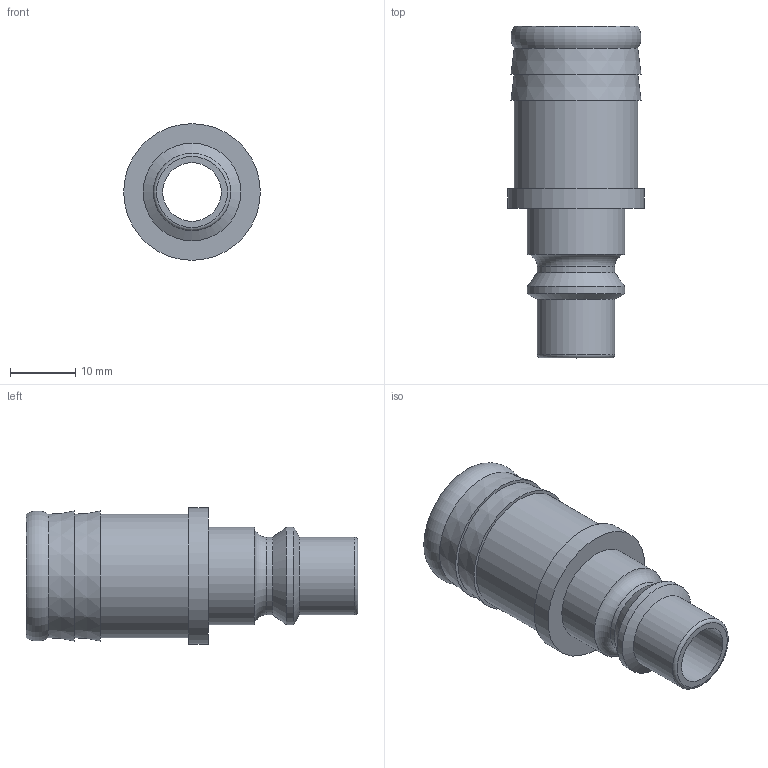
import cadquery as cq
import math

total_length = 51.0
bore_radius = 4.5

tip_radius = 5.95
tip_fillet = 0.5
shank_radius = 7.5
ring_start = 9.0
ring_lead_length = 0.85
ring_land_length = 1.15
groove_start = 13.1
groove_fillet_start = 14.0
groove_fillet_radius = 2.0

collar_radius = 10.5
collar_start = 23.0
collar_width = 3.0

hose_radius = 9.5
barb_radius = 10.0
barb_count = 2
barb_length = 4.0
bead_length = 3.4
bead_radius = 10.0

ring_land_start = ring_start + ring_lead_length
ring_land_end = ring_land_start + ring_land_length
fillet_center_radius = tip_radius + groove_fillet_radius
groove_fillet_end = groove_fillet_start + math.sqrt(
    groove_fillet_radius**2 - (fillet_center_radius - shank_radius) ** 2
)
collar_end = collar_start + collar_width
bead_start = total_length - bead_length
barbs_start = bead_start - barb_count * barb_length


def revolve_about_y(outline):
    """Revolve a closed (radius, length) outline in the XY plane about Y."""
    return outline.close().revolve(360, (0, 0, 0), (0, 1, 0))


def make_plug():
    """Tip, locking ring, rounded groove and shank, up to the collar."""
    outline = (
        cq.Workplane("XY")
        .lineTo(tip_radius - tip_fillet, 0)
        .radiusArc((tip_radius, tip_fillet), -tip_fillet)
        .lineTo(tip_radius, ring_start)
        .lineTo(shank_radius, ring_land_start)
        .lineTo(shank_radius, ring_land_end)
        .lineTo(tip_radius, groove_start)
        .lineTo(tip_radius, groove_fillet_start)
        .radiusArc((shank_radius, groove_fillet_end), groove_fillet_radius)
        .lineTo(shank_radius, collar_start)
        .lineTo(0, collar_start)
    )
    return revolve_about_y(outline)


def make_collar():
    outline = (
        cq.Workplane("XY")
        .moveTo(0, collar_start)
        .lineTo(collar_radius, collar_start)
        .lineTo(collar_radius, collar_end)
        .lineTo(0, collar_end)
    )
    return revolve_about_y(outline)


def make_hose_end():
    """Plain barrel, saw-tooth barbs and the rounded end bead."""
    outline = (
        cq.Workplane("XY")
        .moveTo(0, collar_end)
        .lineTo(hose_radius, collar_end)
        .lineTo(hose_radius, barbs_start)
    )
    for index in range(barb_count):
        barb_start = barbs_start + index * barb_length
        outline = outline.lineTo(barb_radius, barb_start)
        outline = outline.lineTo(hose_radius, barb_start + barb_length)
    outline = (
        outline
        .threePointArc((bead_radius, bead_start + bead_length / 2), (hose_radius, total_length))
        .lineTo(0, total_length)
    )
    return revolve_about_y(outline)


bore = cq.Workplane("XZ").circle(bore_radius).extrude(-total_length)

result = make_plug().union(make_collar()).union(make_hose_end()).cut(bore)